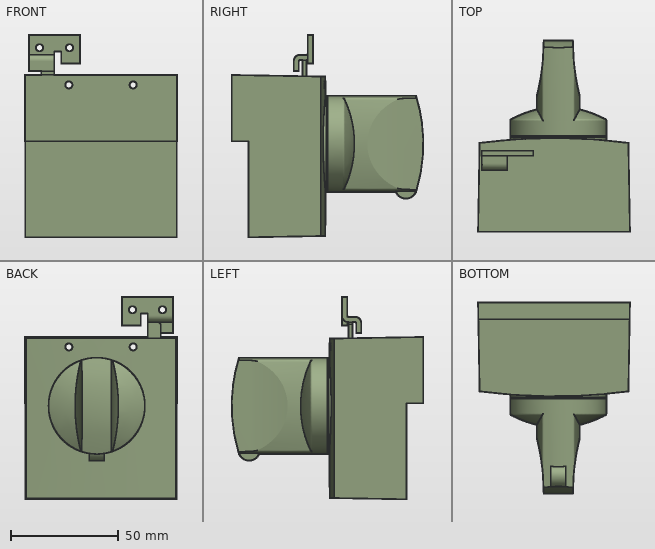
import cadquery as cq
import math


HOUSING_WIDTH = 71.0
HOUSING_HEIGHT = 76.0
DRAFT_ANGLE = 1.0
SIDE_DEPTH = 41.6
FRONT_CROWN = 2.2
STEP_DEPTH = 7.8
STEP_Z = 7.0
SCREW_HOLE_DIAMETER = 3.2
SCREW_HOLE_SPACING = 30.0
SCREW_HOLE_Z = 33.3

KNOB_X = 2.0
KNOB_Z = 5.8
KNOB_RADIUS = 22.5
COLLAR_FACE_Y = 44.3
KNOB_GAP = 0.5

RIM_Y = 52.4
RIM_FILLET = 1.0
DOME_RADIUS = 45.0
GRIP_MIDDLE_HALF_WIDTH = 10.1
GRIP_END_HALF_WIDTH = 7.4
GRIP_EDGE_FILLET = 1.0
GRIP_TIP_HALF_WIDTH = 6.85
GRIP_TIP_Y = 89.48
GRIP_TIP_RADIUS = 75.0
SCOOP_RADIUS = 107.0
POINTER_RADIUS = 5.0
POINTER_WIDTH = 7.0
POINTER_Y = 81.3
POINTER_DROP = 20.6
FUSE_TOLERANCE = 0.001

SHEET = 2.5
BRACKET_WIDTH = 24.0
BRACKET_LEFT = -33.7
BRACKET_FRONT_Y = 38.0
BRACKET_TOP_Z = 56.66
ARM_WIDTH = 12.0
ARM_DROP = 9.3
HOOK_DROP = 16.9
HOOK_REACH = 9.1
LOBE_DROP = 13.4
NOTCH_WIDTH = 3.1
NOTCH_DROP = 7.8
INNER_BEND = 0.5
OUTER_BEND = INNER_BEND + SHEET
MOUNT_HOLE_DIAMETER = 3.2
MOUNT_HOLE_SPACING = 14.0
MOUNT_HOLE_INSET = 5.0
MOUNT_HOLE_DROP = 6.0

TAB_WIDTH = 6.2
TAB_THICKNESS = 2.0
TAB_FRONT_Y = 35.0
TAB_ROOT_Z = 35.0
TAB_CHAMFER = 1.0

ARM_TOP_Z = BRACKET_TOP_Z - ARM_DROP
ARM_UNDERSIDE_Z = ARM_TOP_Z - SHEET
ARM_RIGHT = BRACKET_LEFT + ARM_WIDTH


def disc(radius, y_start, y_end):
    """Cylinder on the knob axis between two Y positions."""
    plane = cq.Workplane("XZ", origin=(KNOB_X, y_start, KNOB_Z))
    return plane.circle(radius).extrude(y_start - y_end)


def make_housing_block():
    """Drafted box with a bowed front face and a stepped back."""
    drafted = cq.Workplane("XZ").rect(HOUSING_WIDTH, HOUSING_HEIGHT)
    drafted = drafted.extrude(-(SIDE_DEPTH + 2 * FRONT_CROWN), taper=DRAFT_ANGLE)
    front_half_width = HOUSING_WIDTH / 2 - SIDE_DEPTH * math.tan(math.radians(DRAFT_ANGLE))
    bowed = (
        cq.Workplane("XY", origin=(0, 0, -HOUSING_HEIGHT / 2))
        .moveTo(-HOUSING_WIDTH / 2, 0)
        .lineTo(HOUSING_WIDTH / 2, 0)
        .lineTo(front_half_width, SIDE_DEPTH)
        .threePointArc((0, SIDE_DEPTH + FRONT_CROWN), (-front_half_width, SIDE_DEPTH))
        .close()
        .extrude(HOUSING_HEIGHT)
    )
    step = cq.Workplane("XY", origin=(0, 0, STEP_Z)).rect(HOUSING_WIDTH, 2 * STEP_DEPTH)
    return drafted.intersect(bowed).cut(step.extrude(-HOUSING_HEIGHT))


def make_latch_tab():
    """Flat tab that stands on the housing and ends under the bracket arm."""
    tab = cq.Workplane("XY").box(TAB_WIDTH, TAB_THICKNESS, ARM_UNDERSIDE_Z - TAB_ROOT_Z, centered=False)
    tab = tab.edges("<X and >Z").chamfer(TAB_CHAMFER)
    return tab.translate((ARM_RIGHT - TAB_WIDTH, TAB_FRONT_Y - TAB_THICKNESS, TAB_ROOT_Z))


def make_housing():
    collar = disc(KNOB_RADIUS, SIDE_DEPTH / 2, COLLAR_FACE_Y)
    screw_holes = (
        cq.Workplane("XZ", origin=(0, 0, SCREW_HOLE_Z))
        .rarray(SCREW_HOLE_SPACING, 1, 2, 1)
        .circle(SCREW_HOLE_DIAMETER / 2)
        .extrude(-2 * SIDE_DEPTH)
    )
    return make_housing_block().union(collar).union(make_latch_tab()).cut(screw_holes)


def make_knob_base(base_y):
    """Round base with a domed face and a filleted rim."""
    dome_centre_y = RIM_Y - math.sqrt(DOME_RADIUS**2 - KNOB_RADIUS**2)
    ball = cq.Workplane("XY").sphere(DOME_RADIUS).translate((KNOB_X, dome_centre_y, KNOB_Z))
    base = disc(KNOB_RADIUS, base_y, GRIP_TIP_Y).intersect(ball)
    return base.faces("%SPHERE").edges().fillet(RIM_FILLET)


def make_grip(base_y):
    """Barrel-shaped handle, scooped on both sides toward a bowed tip."""
    end_z = math.sqrt(KNOB_RADIUS**2 - GRIP_END_HALF_WIDTH**2)
    barrel = (
        cq.Workplane("XZ", origin=(KNOB_X, base_y, KNOB_Z))
        .moveTo(GRIP_END_HALF_WIDTH, -end_z)
        .threePointArc((GRIP_MIDDLE_HALF_WIDTH, 0), (GRIP_END_HALF_WIDTH, end_z))
        .threePointArc((0, KNOB_RADIUS), (-GRIP_END_HALF_WIDTH, end_z))
        .threePointArc((-GRIP_MIDDLE_HALF_WIDTH, 0), (-GRIP_END_HALF_WIDTH, -end_z))
        .threePointArc((0, -KNOB_RADIUS), (GRIP_END_HALF_WIDTH, -end_z))
        .close()
        .extrude(base_y - GRIP_TIP_Y)
        .edges("|Y")
        .fillet(GRIP_EDGE_FILLET)
    )
    tip_round = (
        cq.Workplane("YZ", origin=(KNOB_X - KNOB_RADIUS, GRIP_TIP_Y - GRIP_TIP_RADIUS, KNOB_Z))
        .circle(GRIP_TIP_RADIUS)
        .extrude(2 * KNOB_RADIUS)
    )
    grip = barrel.intersect(tip_round)
    for side in (-1, 1):
        scoop = (
            cq.Workplane("XY", origin=(KNOB_X, 0, KNOB_Z))
            .center(side * (GRIP_TIP_HALF_WIDTH + SCOOP_RADIUS), GRIP_TIP_Y)
            .circle(SCOOP_RADIUS)
            .extrude(KNOB_RADIUS, both=True)
        )
        grip = grip.cut(scoop)
    return grip


def make_knob():
    base_y = COLLAR_FACE_Y + KNOB_GAP
    pointer = (
        cq.Workplane("YZ", origin=(KNOB_X, POINTER_Y, KNOB_Z - POINTER_DROP))
        .circle(POINTER_RADIUS)
        .extrude(POINTER_WIDTH / 2, both=True)
    )
    return make_knob_base(base_y).union(make_grip(base_y), tol=FUSE_TOLERANCE).union(pointer)


def make_bent_strip():
    """Sheet strip that drops from the plate, runs back as an arm and hooks down."""
    plate_back_y = BRACKET_FRONT_Y - SHEET
    hook_back_y = BRACKET_FRONT_Y - HOOK_REACH
    hook_tip_z = BRACKET_TOP_Z - HOOK_DROP
    strip = (
        cq.Workplane("YZ", origin=(BRACKET_LEFT, 0, 0))
        .moveTo(BRACKET_FRONT_Y, BRACKET_TOP_Z)
        .lineTo(BRACKET_FRONT_Y, ARM_UNDERSIDE_Z)
        .lineTo(hook_back_y + SHEET, ARM_UNDERSIDE_Z)
        .lineTo(hook_back_y + SHEET, hook_tip_z)
        .lineTo(hook_back_y, hook_tip_z)
        .lineTo(hook_back_y, ARM_TOP_Z)
        .lineTo(plate_back_y, ARM_TOP_Z)
        .lineTo(plate_back_y, BRACKET_TOP_Z)
        .close()
        .extrude(ARM_WIDTH)
    )
    outer_corners = [(BRACKET_FRONT_Y, ARM_UNDERSIDE_Z), (hook_back_y, ARM_TOP_Z)]
    inner_corners = [(plate_back_y, ARM_TOP_Z), (hook_back_y + SHEET, ARM_UNDERSIDE_Z)]
    for corners, radius in ((outer_corners, OUTER_BEND), (inner_corners, INNER_BEND)):
        for y, z in corners:
            corner = cq.selectors.NearestToPointSelector((BRACKET_LEFT + ARM_WIDTH / 2, y, z))
            strip = strip.edges("|X").edges(corner).fillet(radius)
    return strip


def make_bracket():
    """Flat plate with a free lobe on the right and the bent strip on the left."""
    bracket_right = BRACKET_LEFT + BRACKET_WIDTH
    notch_right = ARM_RIGHT + NOTCH_WIDTH
    notch_z = BRACKET_TOP_Z - NOTCH_DROP
    lobe_z = BRACKET_TOP_Z - LOBE_DROP
    plate = (
        cq.Workplane("XZ", origin=(0, BRACKET_FRONT_Y, 0))
        .moveTo(BRACKET_LEFT, BRACKET_TOP_Z)
        .lineTo(bracket_right, BRACKET_TOP_Z)
        .lineTo(bracket_right, lobe_z)
        .lineTo(notch_right, lobe_z)
        .lineTo(notch_right, notch_z)
        .lineTo(BRACKET_LEFT, notch_z)
        .close()
        .extrude(SHEET)
    )
    first_hole_x = BRACKET_LEFT + MOUNT_HOLE_INSET
    hole_places = [(first_hole_x, 0), (first_hole_x + MOUNT_HOLE_SPACING, 0)]
    mount_holes = (
        cq.Workplane("XZ", origin=(0, BRACKET_FRONT_Y, BRACKET_TOP_Z - MOUNT_HOLE_DROP))
        .pushPoints(hole_places)
        .circle(MOUNT_HOLE_DIAMETER / 2)
        .extrude(SHEET)
    )
    return plate.union(make_bent_strip()).cut(mount_holes)


housing = make_housing()
knob = make_knob()
bracket = make_bracket()

result = cq.Compound.makeCompound([housing.val(), knob.val(), bracket.val()])